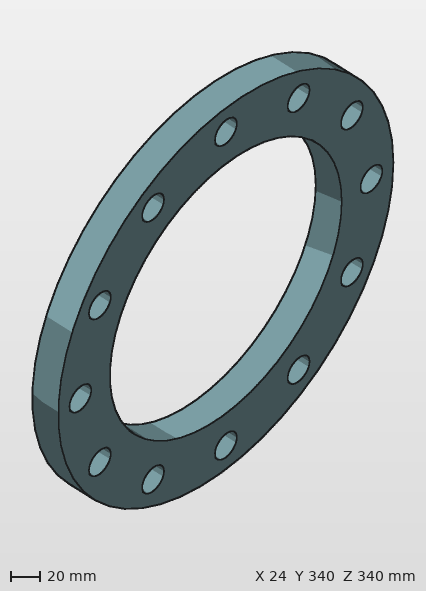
import cadquery as cq

outer_diameter = 340.0
bore_diameter = 235.0
thickness = 24.0
bolt_circle_diameter = 295.0
bolt_hole_diameter = 22.0
bolt_hole_count = 12

ring = (
    cq.Workplane("YZ")
    .circle(outer_diameter / 2)
    .circle(bore_diameter / 2)
    .extrude(thickness)
)

bolt_holes = (
    cq.Workplane("YZ")
    .polarArray(bolt_circle_diameter / 2, 0, 360, bolt_hole_count)
    .circle(bolt_hole_diameter / 2)
    .extrude(thickness)
)

result = ring.cut(bolt_holes)